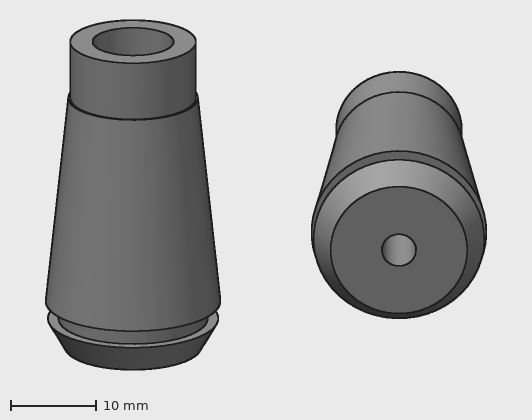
import math

import cadquery as cq

total_height = 38.0
nose_height = 3.5
groove_top = 5.65
taper_top = 31.0

nose_face_radius = 8.0
nose_rim_radius = 10.0
groove_radius = 8.75
taper_large_radius = 10.25
taper_small_radius = 7.6
neck_radius = 7.375

bore_radius = 4.75
bore_depth = 20.0
hole_radius = 2.0
drill_point_angle = 118.0
cone_top = total_height - bore_depth
cone_height = (bore_radius - hole_radius) / math.tan(math.radians(drill_point_angle / 2))

half_section = [
    (hole_radius, 0),
    (nose_face_radius, 0),
    (nose_rim_radius, nose_height),
    (groove_radius, nose_height),
    (groove_radius, groove_top),
    (taper_large_radius, groove_top),
    (taper_small_radius, taper_top),
    (neck_radius, taper_top),
    (neck_radius, total_height),
    (bore_radius, total_height),
    (bore_radius, cone_top),
    (hole_radius, cone_top - cone_height),
]


def revolve_about_z(section):
    """Turn a closed (radius, height) section one full revolution about the Z axis."""
    axis_start = (0, 0)
    axis_end = (0, 1)
    return cq.Workplane("XZ").polyline(section).close().revolve(360, axis_start, axis_end)


result = revolve_about_z(half_section)